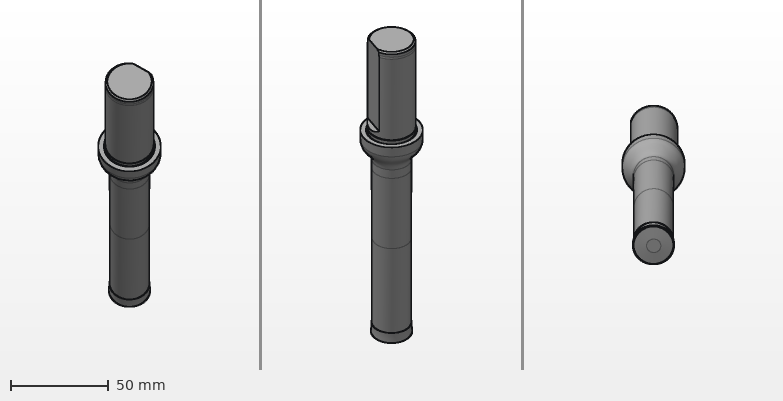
import cadquery as cq

HEAD_TOP_Z = 7.0
STEM_TOP_Z = 59.3
NECK_BOTTOM_Z = 103.0
NECK_TOP_Z = 108.3
COLLAR_BOTTOM_Z = 120.3
COLLAR_TOP_Z = 126.0
TOTAL_LENGTH = 182.0

UPWARD = (0, 1)

STEM_RADIUS = 20.2 / 2
NECK_RADIUS = 20.5 / 2
COLLAR_RADIUS = 32.0 / 2
SHANK_RADIUS = 25.0 / 2
RELIEF_RADIUS = 24.5 / 2

GROOVE_DEPTH = 0.5
GROOVE_RADIUS = 13.1
RELIEF_FOOT_Z = 127.5
SHANK_FOOT_Z = 128.1

SHANK_TOP_Z = 178.4
RELIEF_TOP_Z = 179.5
END_CHAMFER_HEIGHT = 1.0
END_FACE_RADIUS = 11.3

FLAT_Y = 10.4
FLAT_BOTTOM_Z = 132.3

RIM_RADIUS = 21.3 / 2
RIM_TOP_Z = 1.5
RIM_BOTTOM_Z = 1.1
RIM_CHAMFER = 0.5
TIP_RADIUS = 3.6
FLARE_SAG = -(RIM_RADIUS - NECK_RADIUS) / 4


def revolve_about_z(profile):
    """Close a radius-height profile and turn it about the Z axis."""
    return profile.close().revolve(360, (0, 0, 0), (0, 1, 0))


def make_holder():
    """Stem, neck, collar and shank as one turned body with a flat."""
    profile = (
        cq.Workplane("XZ")
        .moveTo(0, HEAD_TOP_Z)
        .lineTo(STEM_RADIUS, HEAD_TOP_Z)
        .lineTo(STEM_RADIUS, STEM_TOP_Z)
        .spline([(NECK_RADIUS, NECK_BOTTOM_Z)], tangents=[UPWARD, UPWARD], includeCurrent=True)
        .lineTo(NECK_RADIUS, NECK_TOP_Z)
        .spline([(COLLAR_RADIUS, COLLAR_BOTTOM_Z)], tangents=[UPWARD, UPWARD], includeCurrent=True)
        .lineTo(COLLAR_RADIUS, COLLAR_TOP_Z)
        .lineTo(GROOVE_RADIUS, COLLAR_TOP_Z)
        .lineTo(RELIEF_RADIUS, COLLAR_TOP_Z - GROOVE_DEPTH)
        .lineTo(RELIEF_RADIUS, RELIEF_FOOT_Z)
        .lineTo(SHANK_RADIUS, SHANK_FOOT_Z)
        .lineTo(SHANK_RADIUS, SHANK_TOP_Z)
        .lineTo(RELIEF_RADIUS, RELIEF_TOP_Z)
        .lineTo(RELIEF_RADIUS, TOTAL_LENGTH - END_CHAMFER_HEIGHT)
        .lineTo(END_FACE_RADIUS, TOTAL_LENGTH)
        .lineTo(0, TOTAL_LENGTH)
    )
    return revolve_about_z(profile).cut(make_flat_cutter())


def make_flat_cutter():
    """Waste beyond the clamping flat, ending in a 45 degree slope."""
    depth = COLLAR_RADIUS - FLAT_Y
    return (
        cq.Workplane("YZ")
        .moveTo(FLAT_Y, FLAT_BOTTOM_Z)
        .lineTo(FLAT_Y + depth, FLAT_BOTTOM_Z - depth)
        .lineTo(FLAT_Y + depth, TOTAL_LENGTH)
        .lineTo(FLAT_Y, TOTAL_LENGTH)
        .close()
        .extrude(COLLAR_RADIUS, both=True)
    )


def make_head():
    """Head that flares to a rim and ends in a shallow blunt cone."""
    profile = (
        cq.Workplane("XZ")
        .moveTo(0, HEAD_TOP_Z)
        .lineTo(NECK_RADIUS, HEAD_TOP_Z)
        .sagittaArc((RIM_RADIUS, RIM_TOP_Z), FLARE_SAG)
        .lineTo(RIM_RADIUS, RIM_BOTTOM_Z)
        .lineTo(RIM_RADIUS - RIM_CHAMFER, RIM_BOTTOM_Z - RIM_CHAMFER)
        .lineTo(TIP_RADIUS, 0)
        .lineTo(0, 0)
    )
    return revolve_about_z(profile)


holder = make_holder()
head = make_head()
result = cq.Compound.makeCompound([holder.val(), head.val()])